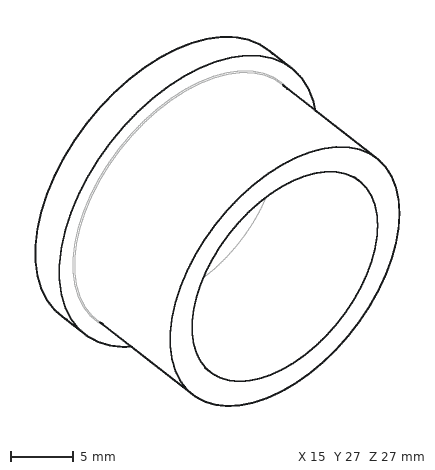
import cadquery as cq

overall_length = 15.0
flange_diameter = 27.0
flange_thickness = 3.0
body_diameter = 24.0
bore_diameter = 19.4
mouth_radius = 2.5
shoulder_radius = 0.1


def cylinder_along_x(diameter, length):
    return cq.Workplane("YZ").circle(diameter / 2).extrude(length)


flange = cylinder_along_x(flange_diameter, flange_thickness)
body = cylinder_along_x(body_diameter, overall_length)
bore = cylinder_along_x(bore_diameter, overall_length)
bushing = flange.union(body).cut(bore)

mouth_edge = bushing.faces("<X").edges(cq.selectors.RadiusNthSelector(0))
bushing = mouth_edge.fillet(mouth_radius)

shoulder_face = bushing.faces(">X[-2]")
shoulder_edge = shoulder_face.edges(cq.selectors.RadiusNthSelector(0))
result = shoulder_edge.fillet(shoulder_radius)